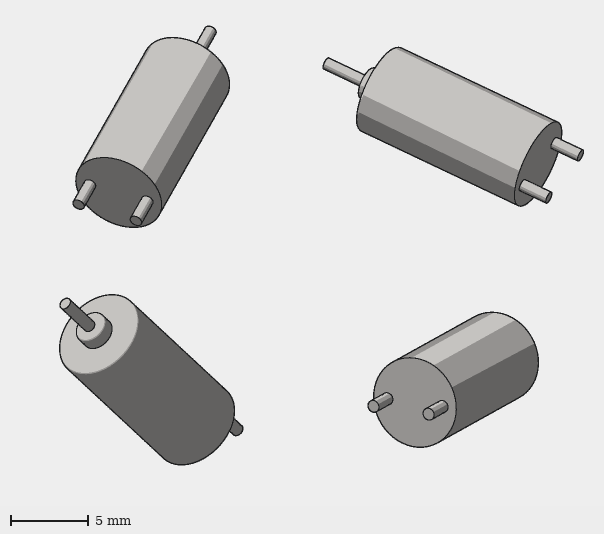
import cadquery as cq

body_diameter = 6.0
body_length = 12.0
boss_diameter = 2.2
boss_length = 1.0
shaft_diameter = 0.8
shaft_length = 3.0
pin_diameter = 0.8
pin_length = 2.0
pin_spacing = 4.0
edge_radius = 0.2

body_front = body_length
boss_front = body_front + boss_length


def cylinder_along_y(diameter, length, start_y, center_x=0.0):
    """Cylinder parallel to Y that starts at start_y and extends toward +Y."""
    start = cq.Vector(center_x, start_y, 0)
    return cq.Workplane(cq.Solid.makeCylinder(diameter / 2, length, start, cq.Vector(0, 1, 0)))


def make_body():
    """Motor can with its shaft-end rim rounded."""
    return cylinder_along_y(body_diameter, body_length, 0).faces(">Y").edges().fillet(edge_radius)


def make_boss():
    """Bearing boss on the shaft end, with its outer rim rounded."""
    boss = cylinder_along_y(boss_diameter, boss_length, body_front)
    return boss.faces(">Y").edges().fillet(edge_radius)


def make_shaft():
    """Output shaft standing out of the bearing boss."""
    return cylinder_along_y(shaft_diameter, shaft_length, boss_front)


def make_pin(center_x):
    """Terminal pin standing out of the flat end of the body."""
    return cylinder_along_y(pin_diameter, pin_length, -pin_length, center_x)


result = make_body().union(make_boss()).union(make_shaft())
for side in (-1, 1):
    result = result.union(make_pin(side * pin_spacing / 2))